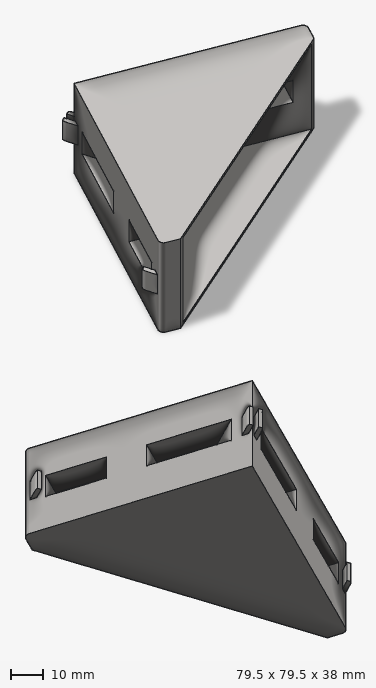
import cadquery as cq

leg_length = 75.9
height = 38.0
end_width = 6.75
end_radius = 1.9
wall = 8.0
plate = 1.0

slot_height = 9.3
near_slot_start = 7.0
near_slot_end = 35.05
far_slot_start = 48.5
far_slot_end = 68.6

tab_height = 8.1
tab_reach = 3.6
tab_width = 2.2
tab_bend = 2.8
tip_lean = 0.5
tip_slant = 0.9
tab_embed = 0.8
near_tab_start = 1.3
far_tab_start = 71.6


def prism(points, depth):
    """Extrude an XY outline symmetrically about Z = 0."""
    return cq.Workplane("XY").polyline(points).close().extrude(depth / 2, both=True)


def mirror_across_diagonal(points):
    """Swap X and Y to carry an outline over to the other leg."""
    return [(y, x) for x, y in points]


def make_body():
    outline = [
        (0, 0),
        (leg_length, 0),
        (leg_length, end_width),
        (end_width, leg_length),
        (0, leg_length),
    ]
    body = prism(outline, height)
    for corner in [(leg_length, 0), (0, leg_length)]:
        body = body.edges(cq.selectors.NearestToPointSelector((*corner, 0))).fillet(end_radius)
    cavity = [(wall, wall), (leg_length, wall), (leg_length, leg_length), (wall, leg_length)]
    return body.cut(prism(cavity, height - 2 * plate))


near_slot = [
    (near_slot_start, 0),
    (near_slot_end, 0),
    (near_slot_end, wall),
    (near_slot_start + wall, wall),
]
far_slot = [(far_slot_start, 0), (far_slot_end, 0), (far_slot_end, wall), (far_slot_start, wall)]


def make_tab(start):
    """45-degree tab on the Y = 0 leg, whose far side curves in toward a narrower tip."""
    end = start + tab_width
    tip_inner = tab_reach - tip_slant
    outline = (
        cq.Workplane("XY")
        .moveTo(start - tip_inner, -tip_inner)
        .lineTo(start + tab_embed, tab_embed)
        .lineTo(end + tab_embed, tab_embed)
        .lineTo(end - tab_bend, -tab_bend)
        .tangentArcPoint((end - tab_reach - tip_lean, -tab_reach), relative=False)
        .close()
    )
    return outline.extrude(tab_height / 2, both=True)


result = make_body()
for slot in [near_slot, far_slot]:
    for outline in [slot, mirror_across_diagonal(slot)]:
        result = result.cut(prism(outline, slot_height))

for start in [near_tab_start, far_tab_start]:
    tab = make_tab(start)
    opposite_tab = tab.rotate((0, 0, 0), (1, 1, 0), 180)
    result = result.union(tab).union(opposite_tab)